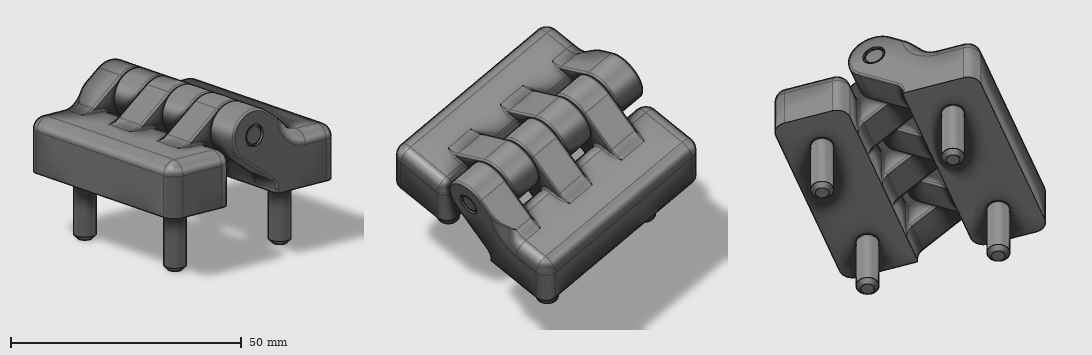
import cadquery as cq
import math

leaf_width = 48.1
leaf_shift = 0.05
block_height = 12.5
hinge_depth = 47.0
block_inner = 6.5
block_radius = 3.0

axis_height = 14.5
knuckle_radius = 6.0
knuckles_per_leaf = 3
knuckle_gap = 0.15
edge_radius = 0.5
blend_radius = 0.5

crest_radius = 5.0
crest_distance = 14.5
heel_radius = 3.0

pin_diameter = 5.0
pin_chamfer = 0.5
pin_recess = 0.25

stud_diameter = 4.95
stud_collar_diameter = 5.0
stud_collar_height = 0.2
stud_length = 15.0
stud_chamfer = 1.0
stud_offset = 15.0
stud_seat = 0.5

tolerance = 0.005

leaf_left = leaf_shift - leaf_width / 2
knuckle_count = 2 * knuckles_per_leaf
hinge_length = -2 * leaf_left
knuckle_width = (hinge_length - (knuckle_count - 1) * knuckle_gap) / knuckle_count
arm_pitch = 2 * (knuckle_width + knuckle_gap)
block_outer = hinge_depth / 2
crest_height = block_height + crest_radius

rise = crest_height - axis_height
center_distance = math.hypot(crest_distance, rise)
slope = math.asin((knuckle_radius + crest_radius) / center_distance) - math.atan2(rise, crest_distance)


def polar(center, radius, angle):
    """Point on a YZ circle; the angle runs from +Z toward -Y."""
    return (center[0] - radius * math.sin(angle), center[1] + radius * math.cos(angle))


def make_block():
    """Plain leaf block with rounded upright corners and top edges."""
    depth = block_outer - block_inner
    block = cq.Workplane("XY").box(leaf_width, depth, block_height, centered=(True, True, False))
    block = block.edges("|Z").fillet(block_radius).faces(">Z").edges().fillet(block_radius)
    return block.translate((leaf_shift, -(block_outer + block_inner) / 2, 0))


def make_arm():
    """Sharp-edged first knuckle with its slope and the part that sits in the block."""
    axis = (0, axis_height)
    crest = (-crest_distance, crest_height)
    top_tangent = polar(axis, knuckle_radius, slope)
    far_side = polar(axis, knuckle_radius, slope - math.pi / 2)
    low_tangent = polar(axis, knuckle_radius, slope + math.pi)
    crest_tangent = polar(crest, crest_radius, slope + math.pi)
    crest_middle = polar(crest, crest_radius, slope / 2 + math.pi)

    heel_y = -block_inner + heel_radius
    line_offset = knuckle_radius + heel_radius
    heel_z = axis_height - (line_offset - heel_y * math.sin(slope)) / math.cos(slope)
    heel = (heel_y, heel_z)
    heel_start = polar(heel, heel_radius, slope)
    heel_middle = polar(heel, heel_radius, (slope + math.pi / 2) / 2)

    return (
        cq.Workplane("YZ", origin=(leaf_left, 0, 0))
        .moveTo(-crest_distance, 0)
        .lineTo(-crest_distance, block_height)
        .threePointArc(crest_middle, crest_tangent)
        .lineTo(*top_tangent)
        .threePointArc(far_side, low_tangent)
        .lineTo(*heel_start)
        .threePointArc(heel_middle, (-block_inner, heel_z))
        .lineTo(-block_inner, 0)
        .close()
        .extrude(knuckle_width)
    )


def round_arm(arm):
    """Round the sides of the faces that wrap the arm; bottom and back lie on the block's own faces."""
    wrap = arm.faces("not (<X or >X or <Y or <Z or %TORUS)")
    return wrap.edges("not |X").fillet(edge_radius)


def make_crest_rounding():
    """Waste that carries the block's side rounding up along the crest curve of the end arm."""
    side_radius = crest_radius + block_radius
    corner = block_radius * (1 - math.sqrt(0.5))
    return (
        cq.Workplane("XZ", origin=(leaf_left, -crest_distance, crest_height))
        .moveTo(0, 0)
        .lineTo(block_radius, 0)
        .lineTo(block_radius, -crest_radius)
        .threePointArc((corner, -crest_radius - corner), (0, -side_radius))
        .close()
        .revolve(90, (0, 0), (1, 0))
    )


def make_stud(x):
    stud = cq.Workplane("XY", origin=(x, -stud_offset, -stud_length))
    stud = stud.circle(stud_diameter / 2).extrude(stud_length + stud_seat)
    stud = stud.faces("<Z").chamfer(stud_chamfer)
    collar = cq.Workplane("XY", origin=(x, -stud_offset, -stud_collar_height))
    return stud.union(collar.circle(stud_collar_diameter / 2).extrude(stud_collar_height + stud_seat))


def make_leaf():
    arm = make_arm()
    end_arm = arm.cut(make_crest_rounding())
    leaf = make_block().union(round_arm(end_arm))
    for index in range(1, knuckles_per_leaf):
        leaf = leaf.union(round_arm(arm).translate((index * arm_pitch, 0, 0)))
    pin_hole = cq.Workplane("YZ", origin=(leaf_left, 0, axis_height)).circle(pin_diameter / 2)
    leaf = leaf.cut(pin_hole.extrude(pin_recess + pin_chamfer))
    for side in (-1, 1):
        leaf = leaf.union(make_stud(leaf_shift + side * stud_offset))
    return leaf


def make_pin():
    pin = cq.Workplane("YZ", origin=(leaf_left + pin_recess, 0, axis_height)).circle(pin_diameter / 2)
    return pin.extrude(hinge_length - 2 * pin_recess).faces("<X or >X").chamfer(pin_chamfer)


def blend_arm_sides(hinge):
    """Hollow rounding where the arm sides rise from the block; the outermost side is flush."""
    sides = []
    for index in range(knuckles_per_leaf):
        arm_left = leaf_left + index * arm_pitch
        sides += [arm_left, arm_left + knuckle_width]
    for side in sides[1:]:
        zone = cq.selectors.BoxSelector(
            (side - tolerance, -crest_distance, 0),
            (side + tolerance, -block_inner + tolerance, block_height + tolerance),
            boundingbox=True,
        )
        hinge = hinge.edges(zone).fillet(blend_radius)
    return hinge


def half_turn(shape):
    return shape.rotate((0, 0, 0), (0, 0, 1), 180)


leaf = make_leaf()
hinge = leaf.union(make_pin()).union(half_turn(leaf))

result = blend_arm_sides(half_turn(blend_arm_sides(hinge)))